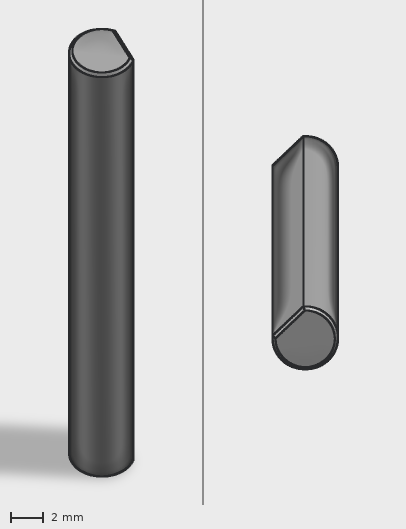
import cadquery as cq

length = 36.0
diameter = 4.0
depth_across_flat = 3.5
end_chamfer = 0.2

radius = diameter / 2
flat_y = depth_across_flat - radius


def round_rod():
    """Plain cylinder standing on the XY plane."""
    return cq.Workplane("XY").circle(radius).extrude(length)


def flat_cutter():
    """Full-length block that removes everything beyond the flat."""
    return (
        cq.Workplane("XY")
        .box(diameter, radius, length, centered=(True, False, False))
        .translate((0, flat_y, 0))
    )


def chamfer_ends(rod):
    """Break the whole D-shaped rim, flat included, at both ends."""
    return rod.faces("<Z or >Z").edges().chamfer(end_chamfer)


result = chamfer_ends(round_rod().cut(flat_cutter()))